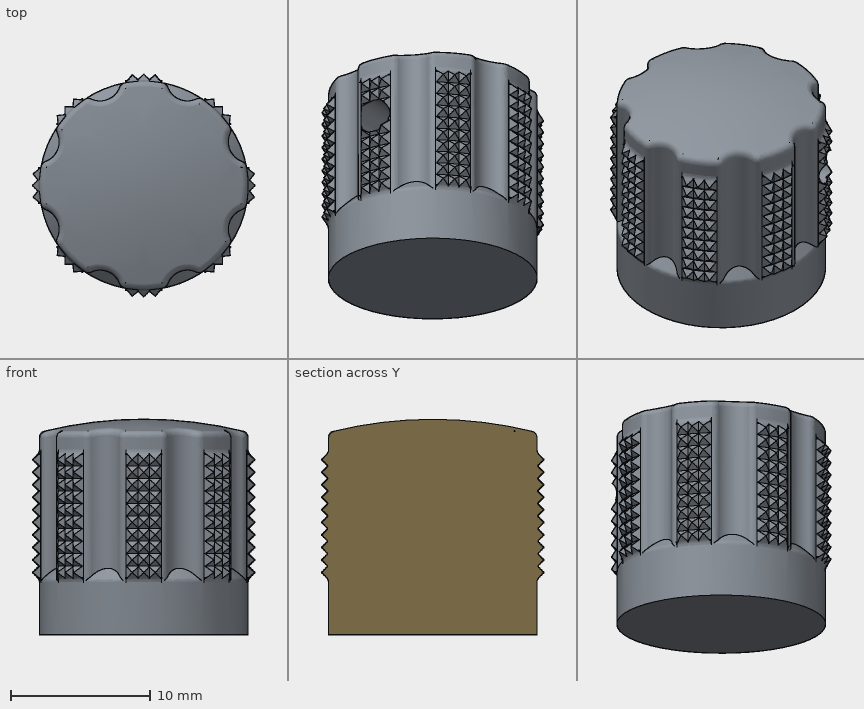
import cadquery as cq
import math

BODY_RADIUS = 7.5
TOTAL_HEIGHT = 15.5
SKIRT_HEIGHT = 3.78
DOME_RADIUS = 30.0
EDGE_FILLET = 0.5

SECTOR_COUNT = 8
SECTOR_ANGLE = 360.0 / SECTOR_COUNT
FLUTE_RADIUS = 1.5
FLUTE_CENTER_RADIUS = 8.2
CONE_HEIGHT = 1.5

SCREW_HOLE_DIAMETER = 2.5
SCREW_HOLE_Z = 10.0
SCREW_HOLE_DEPTH = 4.5

SPIKE_HEIGHT = 0.5
SPIKE_HALF_WIDTH = SPIKE_HEIGHT
SPIKE_ROWS = 10
SPIKE_ROW_PITCH = 0.9
SPIKE_COLUMNS = 3
SPIKE_COLUMN_ANGLE = 6.0
SPIKE_ROOT_DEPTH = 0.3
BLEND_HALF_ANGLE = 9.8

TOLERANCE = 1e-3

DIAGONAL = math.radians(45)
HALF_DIAGONAL = DIAGONAL / 2
BLEND_RISE = EDGE_FILLET * math.sin(DIAGONAL)
BLEND_RUN = EDGE_FILLET * (1 - math.cos(DIAGONAL))
BLEND_MID_RISE = EDGE_FILLET * math.sin(HALF_DIAGONAL)
BLEND_MID_RUN = EDGE_FILLET * (1 - math.cos(HALF_DIAGONAL))
BLEND_TANGENT = EDGE_FILLET * math.tan(HALF_DIAGONAL)

FIRST_ROW_Z = SKIRT_HEIGHT + BLEND_TANGENT + SPIKE_HALF_WIDTH
LAST_ROW_Z = FIRST_ROW_Z + (SPIKE_ROWS - 1) * SPIKE_ROW_PITCH
PANEL_TOP_Z = LAST_ROW_Z + SPIKE_HALF_WIDTH + BLEND_TANGENT


def make_fluted_grip():
    """Domed cylinder with eight full-length flutes, rounded along every grip edge."""
    base_plane = cq.Workplane("XY").workplane(offset=SKIRT_HEIGHT)
    grip = base_plane.circle(BODY_RADIUS).extrude(TOTAL_HEIGHT - SKIRT_HEIGHT)
    flutes = (
        base_plane
        .polarArray(FLUTE_CENTER_RADIUS, SECTOR_ANGLE / 2, 360, SECTOR_COUNT)
        .circle(FLUTE_RADIUS)
        .extrude(TOTAL_HEIGHT - SKIRT_HEIGHT)
    )
    dome = cq.Workplane("XY").sphere(DOME_RADIUS).translate((0, 0, TOTAL_HEIGHT - DOME_RADIUS))
    grip = grip.cut(flutes)
    panel_corners = [
        edge
        for edge in grip.edges("|Z").vals()
        if abs(math.hypot(edge.Center().x, edge.Center().y) - BODY_RADIUS) < TOLERANCE
        and abs(edge.Center().y) > TOLERANCE
    ]
    grip = grip.newObject(panel_corners).fillet(EDGE_FILLET)
    grip = grip.intersect(dome)
    return grip.faces(">Z").edges().fillet(EDGE_FILLET)


def make_skirt():
    """Plain lower band whose rounded conical shoulder closes the bottom of the flutes."""
    shoulder_radius = BODY_RADIUS - BLEND_RUN
    shoulder_z = SKIRT_HEIGHT + BLEND_RISE
    return (
        cq.Workplane("XZ")
        .lineTo(BODY_RADIUS, 0)
        .lineTo(BODY_RADIUS, SKIRT_HEIGHT)
        .threePointArc(
            (BODY_RADIUS - BLEND_MID_RUN, SKIRT_HEIGHT + BLEND_MID_RISE),
            (shoulder_radius, shoulder_z),
        )
        .lineTo(shoulder_radius - CONE_HEIGHT, shoulder_z + CONE_HEIGHT)
        .lineTo(0, shoulder_z + CONE_HEIGHT)
        .close()
        .revolve(360, (0, 0, 0), (0, 1, 0))
    )


def make_spike():
    """Square pyramid pointing along +X, with its axis at Z = 0."""
    half_width = SPIKE_HALF_WIDTH
    tip = cq.Vector(BODY_RADIUS + SPIKE_HEIGHT, 0, 0)
    rim = [
        cq.Vector(BODY_RADIUS, y * half_width, z * half_width)
        for y, z in ((-1, -1), (1, -1), (1, 1), (-1, 1))
    ]
    flanks = []
    for index, corner in enumerate(rim):
        following = rim[(index + 1) % len(rim)]
        outline = cq.Wire.makePolygon([corner, following, tip], close=True)
        flanks.append(cq.Face.makeFromWires(outline))
    base = cq.Face.makeFromWires(cq.Wire.makePolygon(rim, close=True))
    pyramid = cq.Workplane(cq.Solid.makeSolid(cq.Shell.makeShell(flanks + [base])))
    root = cq.Workplane("XY").box(SPIKE_ROOT_DEPTH, 2 * half_width, 2 * half_width)
    root = root.translate((BODY_RADIUS - SPIKE_ROOT_DEPTH / 2, 0, 0))
    return pyramid.union(root)


def make_panel_blend(end_z, direction):
    """Concave fillet from the body wall at end_z onto the end row of spikes (direction 1 is up, -1 down)."""
    root_radius = BODY_RADIUS - SPIKE_ROOT_DEPTH
    return (
        cq.Workplane("XZ")
        .moveTo(root_radius, end_z)
        .lineTo(BODY_RADIUS, end_z)
        .threePointArc(
            (BODY_RADIUS + BLEND_MID_RUN, end_z + direction * BLEND_MID_RISE),
            (BODY_RADIUS + BLEND_RUN, end_z + direction * BLEND_RISE),
        )
        .lineTo(root_radius, end_z + direction * BLEND_RISE)
        .close()
        .revolve(2 * BLEND_HALF_ANGLE, (0, 0, 0), (0, 1, 0))
        .rotate((0, 0, 0), (0, 0, 1), -BLEND_HALF_ANGLE)
    )


def make_spike_panel():
    """Grid of spikes centred on +X, blended into the wall at its top and bottom."""
    panel = make_panel_blend(SKIRT_HEIGHT, 1).union(make_panel_blend(PANEL_TOP_Z, -1))
    spike = make_spike()
    for column in range(SPIKE_COLUMNS):
        angle = (column - (SPIKE_COLUMNS - 1) / 2) * SPIKE_COLUMN_ANGLE
        turned = spike.rotate((0, 0, 0), (0, 0, 1), angle)
        for row in range(SPIKE_ROWS):
            panel = panel.union(turned.translate((0, 0, FIRST_ROW_Z + row * SPIKE_ROW_PITCH)))
    return panel


def make_screw_hole():
    """Blind radial hole entering the spike panel on the +Y side."""
    floor_y = BODY_RADIUS - SCREW_HOLE_DEPTH
    return (
        cq.Workplane("XZ", origin=(0, floor_y, SCREW_HOLE_Z))
        .circle(SCREW_HOLE_DIAMETER / 2)
        .extrude(-(SCREW_HOLE_DEPTH + 2 * SPIKE_HEIGHT))
    )


result = make_fluted_grip().union(make_skirt(), clean=False)
spike_panel = make_spike_panel()
for sector in range(SECTOR_COUNT):
    turned_panel = spike_panel.rotate((0, 0, 0), (0, 0, 1), sector * SECTOR_ANGLE)
    result = result.union(turned_panel, clean=False)
result = result.cut(make_screw_hole(), clean=False).solids()